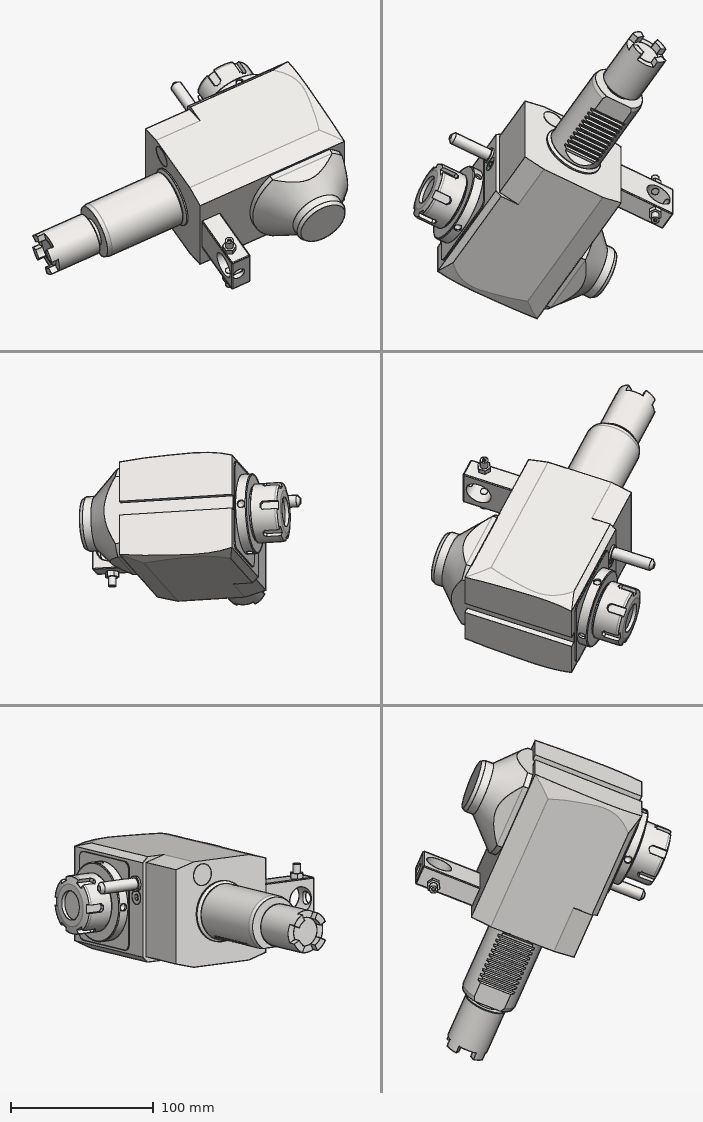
import cadquery as cq
import math

OVERALL_LENGTH = 220.8
OVERALL_WIDTH = 156.1


BODY_LEFT = -42.0
BODY_RIGHT = 38.9
BODY_BACK = 116.0
BODY_HALF_HEIGHT = 37.5
SIDE_HALF_HEIGHT = 33.5
UPPER_LEFT_CHAMFER = 4.2
RIGHT_CHAMFER_START = 24.0
STEP_LEFT = -39.0
STEP_LENGTH = 35.3
STEP_CHAMFER_START = -23.9
NOTCH_WIDTH = 10.0
NOTCH_DEPTH = 4.2
PLUG_X, PLUG_Z, PLUG_RADIUS = -16.1, 27.5, 7.7
LINE_DEPTH = 0.2

SLOPE_CROWN = [(-28.3, 36.2), (-14.8, 36.9), (0, 36.5), (24.0, 35.1)]
SLOPE_LENGTH = 26.5
SLOPE_RISE = 5.3

SHANK_RADIUS = 40.0 / 2
SHANK_LENGTH = 63.2
SHANK_CHAMFER_LENGTH = 3.0
SHANK_CHAMFER = 0.9
FLANGE_RADIUS = 21.6
FLANGE_LENGTH = 2.5
RELIEF_RADIUS = 19.0
RELIEF_END = 3.3
FLANGE_RIM = 1.0
NECK_RADIUS = 10.2
COUPLING_START = 66.7
COUPLING_CHAMFER = 0.5
COUPLING_RADIUS = 15.0
COUPLING_BORE_RADIUS = 10.2
TIP_Y = BODY_BACK - OVERALL_LENGTH
TOOTH_LENGTH = 5.3
TOOTH_GAP_HALF_ANGLE = 26
TOOTH_COUNT = 4

FLAT_Z = -16.3
FLAT_START = 8.6
SERRATION_COUNT = 10
SERRATION_PITCH = 4.0
SERRATION_FIRST = 11.7
SERRATION_DEPTH = 1.8
SERRATION_ROOT = 1.3
SERRATION_MOUTH = 2.7

SPINDLE_Y = 80.0
PLATE_FRONT, PLATE_BACK = 51.2, 109.3
PLATE_HALF_HEIGHT = 31.5
PLATE_CORNER = 5.0
PLATE_FACE = -42.8
COLLAR_RADIUS = 28.0
COLLAR_FACE = -50.4
COLLAR_CHAMFER = 0.7
SPANNER_HOLE_X = -46.5
SPANNER_HOLE_RADIUS = 2.7
SPANNER_HOLE_DEPTH = 1.8
SPANNER_HOLE_POINT = 1.8
SPANNER_HOLE_COUNT = 4
NUT_RADIUS = 20.8
NUT_BACK = -51.7
NUT_RIM_BACK = -69.1
NUT_RIM = -70.7
NUT_RIM_RADIUS = 20.3
NUT_FACE = -72.0
NUT_FACE_RADIUS = 15.0
NUT_GROOVE_RADIUS = 19.5
NUT_SLOT_COUNT = 6
NUT_SLOT_WIDTH = 6.0
NUT_SLOT_END = -58.5
NUT_SLOT_CHAMFER = 1.8
NUT_SLOT_FLOOR_RADIUS = 17.7
COLLET_RADIUS = 10.4
COLLET_DEPTH = 2.7

PIN_Y, PIN_Z = 43.3, 17.7
PIN_RADIUS = 4.2
PIN_TIP = -74.2
PIN_CHAMFER = 2.2
PIN_COLLAR_RADIUS = 5.5
PIN_COLLAR_FACE = -43.5
SCREW_Z = 8.0
SCREW_RADIUS = 5.0
SCREW_SOCKET_SIZE = 4.5
SCREW_SOCKET_DEPTH = 2.2

COVER_RADIUS = 40.0
COVER_RIM_X = 42.8
COVER_CONE_END = 63.4
COVER_HUB_RADIUS = 19.2
COVER_HUB_CHAMFER_X = 69.3
COVER_HUB_FACE_RADIUS = 17.7
COVER_FACE = 72.0
COVER_BACK = 111.8
COVER_HALF_HEIGHT = 32.0
COVER_SLOPE_X, COVER_SLOPE_Z = 53.5, 29.4

ARM_FRONT, ARM_BACK = 1.3, 16.1
ARM_HALF_HEIGHT = 15.0
ARM_END = PIN_TIP + OVERALL_WIDTH
ARM_CHAMFER = 0.7
ARM_HOLE_RADIUS = 18.8 / 2
ARM_HOLE_X = 70.0
STUD_Y = 6.0
STUD_RADIUS = 5.5 / 2
STUD_INNER_Z, STUD_OUTER_Z = 9.0, 25.2
STUD_SOCKET_SIZE = 2.9
STUD_SOCKET_DEPTH = 1.8
STUD_NUT_SIZE = 9.5
STUD_NUT_TOP = 18.8
END_HOLE_Y = 6.8
END_HOLE_RADIUS = 4.6


def block(x0, x1, y0, y1, z0, z1):
    """Box given by its limits along each axis."""
    return cq.Workplane("XY").box(x1 - x0, y1 - y0, z1 - z0, centered=False).translate((x0, y0, z0))


def rod_x(radius, x0, x1, y, z):
    """Cylinder along X."""
    return cq.Workplane("YZ", origin=(x0, 0, 0)).center(y, z).circle(radius).extrude(x1 - x0)


def front_sketch(y):
    """Workplane facing -Y (local x = X, local y = Z); negative extrusions run toward +Y."""
    return cq.Workplane(cq.Plane(origin=(0, y, 0), xDir=(1, 0, 0), normal=(0, -1, 0)))


def revolve_x(points, y):
    """Solid of revolution from (x, radius) points about an axis along X at the given y."""
    return cq.Workplane("XY").polyline(points).close().revolve(360, (0, 0), (1, 0)).translate((0, y, 0))


def both_sides(solid):
    """The solid and its mirror image below the XY plane."""
    return solid.union(solid.mirror("XY"))


def body_prism(left, left_chamfer_x, front, back):
    """Block along Y with its left and right long edges chamfered."""
    top, side = BODY_HALF_HEIGHT, SIDE_HALF_HEIGHT
    outline = [
        (left, -side), (left_chamfer_x, -top), (RIGHT_CHAMFER_START, -top), (BODY_RIGHT, -side),
        (BODY_RIGHT, side), (RIGHT_CHAMFER_START, top), (left_chamfer_x, top), (left, side),
    ]
    return front_sketch(front).polyline(outline).close().extrude(front - back)


def slope_cutter():
    """Space above the arched surface that slopes down to the back face, ruled between two sections."""
    roof = 2 * BODY_HALF_HEIGHT

    def section(y, rise):
        arch = [(x, z + rise) for x, z in SLOPE_CROWN + [(BODY_RIGHT, SIDE_HALF_HEIGHT)]]
        outline = front_sketch(y).moveTo(BODY_LEFT, SIDE_HALF_HEIGHT + rise)
        outline = outline.spline(arch, includeCurrent=True)
        return outline.lineTo(BODY_RIGHT, roof).lineTo(BODY_LEFT, roof).close().wires().val()

    start = section(BODY_BACK - SLOPE_LENGTH, SLOPE_RISE)
    end = section(BODY_BACK, 0)
    return cq.Workplane(cq.Solid.makeLoft([start, end], True))


def make_body():
    upper = body_prism(BODY_LEFT, BODY_LEFT + UPPER_LEFT_CHAMFER, STEP_LENGTH, BODY_BACK)
    lower = body_prism(STEP_LEFT, STEP_CHAMFER_START, 0, STEP_LENGTH)
    body = upper.union(lower).cut(both_sides(slope_cutter()))
    notch_floor = BODY_BACK - NOTCH_DEPTH
    half = NOTCH_WIDTH / 2
    body = body.cut(block(BODY_LEFT, BODY_RIGHT, notch_floor, BODY_BACK, -half, half))
    plug = front_sketch(0).center(PLUG_X, PLUG_Z).circle(PLUG_RADIUS).extrude(-LINE_DEPTH)
    return body.cut(plug)


def make_shank():
    chamfer_y = SHANK_LENGTH - SHANK_CHAMFER_LENGTH
    profile = [
        (0, 0), (FLANGE_RADIUS, 0), (FLANGE_RADIUS, -FLANGE_RIM), (RELIEF_RADIUS, -FLANGE_LENGTH),
        (SHANK_RADIUS, -RELIEF_END), (SHANK_RADIUS, -chamfer_y),
        (SHANK_RADIUS - SHANK_CHAMFER, -SHANK_LENGTH), (NECK_RADIUS, -SHANK_LENGTH),
        (NECK_RADIUS, -COUPLING_START), (COUPLING_RADIUS - COUPLING_CHAMFER, -COUPLING_START),
        (COUPLING_RADIUS, -COUPLING_START - COUPLING_CHAMFER), (COUPLING_RADIUS, TIP_Y), (0, TIP_Y),
    ]
    return cq.Workplane("XY").polyline(profile).close().revolve(360, (0, 0), (0, 1))


def serration_cutter():
    """Flat with a 45 degree ramp at the body end and a row of tapered grooves across it."""
    depth = FLANGE_RADIUS
    ramp_foot = -FLAT_START + depth + FLAT_Z
    ramp = [(ramp_foot, -depth), (-FLAT_START, FLAT_Z), (-SHANK_LENGTH, FLAT_Z), (-SHANK_LENGTH, -depth)]
    cutter = cq.Workplane("YZ").polyline(ramp).close().extrude(depth, both=True)
    mouth = SERRATION_MOUTH / 2
    root = SERRATION_ROOT / 2
    top = FLAT_Z + SERRATION_DEPTH
    for i in range(SERRATION_COUNT):
        y = -SERRATION_FIRST - i * SERRATION_PITCH
        groove = [(y - mouth, FLAT_Z), (y - root, top), (y + root, top), (y + mouth, FLAT_Z)]
        cutter = cutter.union(cq.Workplane("YZ").polyline(groove).close().extrude(depth, both=True))
    return cutter


def coupling_cutter():
    """Bore and radial gaps that leave the coupling teeth."""
    cutter = front_sketch(TIP_Y).circle(COUPLING_BORE_RADIUS).extrude(-TOOTH_LENGTH - LINE_DEPTH)
    reach = 2 * COUPLING_RADIUS
    spread = reach * math.tan(math.radians(TOOTH_GAP_HALF_ANGLE))
    gap = front_sketch(TIP_Y).polyline([(0, 0), (reach, -spread), (reach, spread)]).close()
    gap = gap.extrude(-TOOTH_LENGTH)
    for i in range(TOOTH_COUNT):
        cutter = cutter.union(gap.rotate((0, 0, 0), (0, 1, 0), i * 360 / TOOTH_COUNT))
    return cutter


def around_spindle(solid, count):
    """Copies of a solid spaced evenly about the spindle axis."""
    copies = cq.Workplane("XY")
    for i in range(count):
        copies.add(solid.rotate((0, SPINDLE_Y, 0), (1, SPINDLE_Y, 0), i * 360 / count))
    return copies.combine()


def make_spindle():
    plate_y = (PLATE_FRONT + PLATE_BACK) / 2
    plate = cq.Workplane("YZ", origin=(PLATE_FACE, plate_y, 0))
    plate = plate.rect(PLATE_BACK - PLATE_FRONT, 2 * PLATE_HALF_HEIGHT).extrude(BODY_LEFT - PLATE_FACE)
    plate = plate.edges("|X").fillet(PLATE_CORNER)
    turned = revolve_x([
        (BODY_LEFT, 0), (BODY_LEFT, COLLAR_RADIUS), (COLLAR_FACE + COLLAR_CHAMFER, COLLAR_RADIUS),
        (COLLAR_FACE, COLLAR_RADIUS - COLLAR_CHAMFER), (COLLAR_FACE, NUT_GROOVE_RADIUS),
        (NUT_BACK, NUT_GROOVE_RADIUS), (NUT_BACK, NUT_RADIUS), (NUT_RIM_BACK, NUT_RADIUS),
        (NUT_RIM, NUT_RIM_RADIUS), (NUT_FACE, NUT_FACE_RADIUS),
        (NUT_FACE, COLLET_RADIUS), (NUT_FACE + COLLET_DEPTH, COLLET_RADIUS), (NUT_FACE + COLLET_DEPTH, 0),
    ], SPINDLE_Y)

    hole_bottom = COLLAR_RADIUS - SPANNER_HOLE_DEPTH
    hole = cq.Workplane("XY", origin=(SPANNER_HOLE_X, SPINDLE_Y, hole_bottom))
    hole = hole.circle(SPANNER_HOLE_RADIUS).extrude(COLLAR_RADIUS)
    hole_point = cq.Solid.makeCone(
        0, SPANNER_HOLE_RADIUS, SPANNER_HOLE_POINT,
        pnt=cq.Vector(SPANNER_HOLE_X, SPINDLE_Y, hole_bottom - SPANNER_HOLE_POINT),
    )
    hole = hole.union(cq.Workplane(hole_point))
    half = NUT_SLOT_WIDTH / 2
    slot = cq.Workplane("XZ", origin=(0, SPINDLE_Y - NUT_SLOT_FLOOR_RADIUS, 0)).polyline([
        (NUT_FACE, -half), (NUT_SLOT_END - NUT_SLOT_CHAMFER, -half),
        (NUT_SLOT_END, -half + NUT_SLOT_CHAMFER), (NUT_SLOT_END, half - NUT_SLOT_CHAMFER),
        (NUT_SLOT_END - NUT_SLOT_CHAMFER, half), (NUT_FACE, half),
    ]).close().extrude(NUT_RADIUS)
    turned = turned.cut(around_spindle(hole, SPANNER_HOLE_COUNT))
    turned = turned.cut(around_spindle(slot, NUT_SLOT_COUNT))
    return plate.union(turned)


def make_pin():
    pin = rod_x(PIN_RADIUS, PIN_TIP, BODY_LEFT, PIN_Y, PIN_Z).faces("<X").chamfer(PIN_CHAMFER)
    return pin.union(rod_x(PIN_COLLAR_RADIUS, PIN_COLLAR_FACE, BODY_LEFT, PIN_Y, PIN_Z))


def screw_cutter():
    """Shallow seat and hexagon socket of the screw beside the pin."""
    seat = rod_x(SCREW_RADIUS, BODY_LEFT, BODY_LEFT + LINE_DEPTH, PIN_Y, SCREW_Z)
    socket = cq.Workplane("YZ", origin=(BODY_LEFT, PIN_Y, SCREW_Z)).transformed(rotate=(0, 0, 90))
    return seat.union(socket.polygon(6, SCREW_SOCKET_SIZE).extrude(SCREW_SOCKET_DEPTH))


def make_cover():
    cover = revolve_x([
        (BODY_RIGHT, 0), (BODY_RIGHT, COVER_RADIUS), (COVER_RIM_X, COVER_RADIUS),
        (COVER_CONE_END, COVER_HUB_RADIUS), (COVER_HUB_CHAMFER_X, COVER_HUB_RADIUS),
        (COVER_FACE, COVER_HUB_FACE_RADIUS), (COVER_FACE, 0),
    ], SPINDLE_Y)
    top, low = COVER_HALF_HEIGHT, COVER_SLOPE_Z
    envelope = front_sketch(0).polyline([
        (BODY_RIGHT, -top), (COVER_RIM_X, -top), (COVER_SLOPE_X, -low), (COVER_FACE, -low),
        (COVER_FACE, low), (COVER_SLOPE_X, low), (COVER_RIM_X, top), (BODY_RIGHT, top),
    ]).close().extrude(-COVER_BACK)
    return cover.intersect(envelope)


def make_arm():
    arm = block(BODY_RIGHT, ARM_END, ARM_FRONT, ARM_BACK, -ARM_HALF_HEIGHT, ARM_HALF_HEIGHT)
    arm = arm.edges(">X or |X").chamfer(ARM_CHAMFER)
    arm = arm.cut(front_sketch(ARM_FRONT).center(ARM_HOLE_X, 0).circle(ARM_HOLE_RADIUS).extrude(-ARM_BACK))
    arm = arm.cut(rod_x(END_HOLE_RADIUS, ARM_HOLE_X, ARM_END, END_HOLE_Y, 0))

    def level(z):
        return cq.Workplane("XY", origin=(ARM_HOLE_X, STUD_Y, z))

    stud = level(STUD_INNER_Z).circle(STUD_RADIUS).extrude(STUD_OUTER_Z - STUD_INNER_Z)
    nut_height = STUD_NUT_TOP - ARM_HALF_HEIGHT
    stud = stud.union(level(ARM_HALF_HEIGHT).polygon(6, STUD_NUT_SIZE).extrude(nut_height))
    stud = stud.cut(level(STUD_OUTER_Z).polygon(6, STUD_SOCKET_SIZE).extrude(-STUD_SOCKET_DEPTH))
    return arm.union(both_sides(stud))


shank = make_shank().cut(serration_cutter()).cut(coupling_cutter())
result = make_body().cut(screw_cutter())
for feature in (shank, make_spindle(), make_pin(), make_cover(), make_arm()):
    result = result.union(feature)